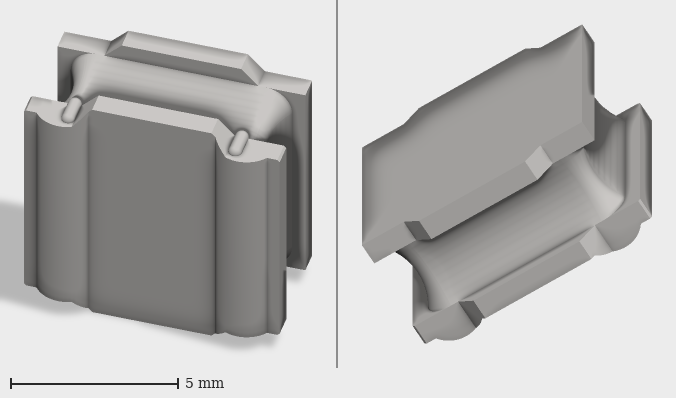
import cadquery as cq


total_depth = 4.2
back_flange_thickness = 0.71
winding_length = 2.39
front_flange_thickness = 0.685
back_face_y = total_depth / 2
winding_back_y = back_face_y - back_flange_thickness
winding_front_y = winding_back_y - winding_length
front_face_y = winding_front_y - front_flange_thickness
pad_tip_y = -total_depth / 2

flange_half_height = 4.0
shoulder_half_height = 3.46
shoulder_rise = flange_half_height - shoulder_half_height
middle_half_width = 1.865
shoulder_half_width = middle_half_width + shoulder_rise
back_half_width = 3.875
front_half_width = 4.0
front_corner_chamfer = 0.07

corner_centre = 2.65
waist_radius = 0.46
flare_radius = shoulder_half_height - corner_centre

pad_centre_x = 2.795
pad_half_width = 0.81
groove_depth = 0.24
wire_centre_x = 2.61
wire_radius = 0.21


def flange_blank(half_width, front_y, thickness):
    """Flange outline in XZ, extruded from front_y toward +Y."""
    right_side = [
        (middle_half_width, flange_half_height),
        (shoulder_half_width, shoulder_half_height),
        (half_width, shoulder_half_height),
        (half_width, -shoulder_half_height),
        (shoulder_half_width, -shoulder_half_height),
        (middle_half_width, -flange_half_height),
    ]
    left_side = [(-x, z) for x, z in reversed(right_side)]
    outline = cq.Workplane("XZ", origin=(0, front_y, 0)).polyline(right_side + left_side)
    return outline.close().extrude(-thickness)


def make_winding():
    """Waisted winding: two crossed slabs with concave sides and four revolved corners."""
    middle_y = (winding_back_y + winding_front_y) / 2
    flare = corner_centre + flare_radius
    waist = corner_centre + waist_radius
    slab = (
        cq.Workplane("XY", origin=(0, 0, -corner_centre))
        .moveTo(-flare, winding_front_y)
        .lineTo(flare, winding_front_y)
        .threePointArc((waist, middle_y), (flare, winding_back_y))
        .lineTo(-flare, winding_back_y)
        .threePointArc((-waist, middle_y), (-flare, winding_front_y))
        .close()
        .extrude(2 * corner_centre)
    )
    winding = slab.union(slab.rotate((0, 0, 0), (0, 1, 0), 90))
    for x in (-corner_centre, corner_centre):
        for z in (-corner_centre, corner_centre):
            corner = (
                cq.Workplane("XY", origin=(x, 0, z))
                .moveTo(0, winding_front_y)
                .lineTo(flare_radius, winding_front_y)
                .threePointArc((waist_radius, middle_y), (flare_radius, winding_back_y))
                .lineTo(0, winding_back_y)
                .close()
                .revolve(360, (0, 0, 0), (0, 1, 0))
            )
            winding = winding.union(corner)
    return winding


def make_wire(side):
    """Round-ended wire lying along the shoulder, as long as the front flange is thick."""
    wire = (
        cq.Workplane("XZ", origin=(side * wire_centre_x, winding_front_y, shoulder_half_height))
        .circle(wire_radius)
        .extrude(front_flange_thickness)
    )
    for end_y in (winding_front_y, front_face_y):
        rounded_end = cq.Workplane("XY").sphere(wire_radius)
        wire = wire.union(rounded_end.translate((side * wire_centre_x, end_y, shoulder_half_height)))
    return wire


def make_pad(side):
    """Solder pad: V-shaped inside, arched outside, trimmed to the flange outline."""
    centre_x = side * pad_centre_x
    bar = (
        cq.Workplane("XY", origin=(centre_x, 0, -flange_half_height))
        .moveTo(-pad_half_width, front_face_y)
        .lineTo(0, front_face_y + groove_depth)
        .lineTo(pad_half_width, front_face_y)
        .threePointArc((0, pad_tip_y), (-pad_half_width, front_face_y))
        .close()
        .extrude(2 * flange_half_height)
    )
    flange_outline = flange_blank(front_half_width, pad_tip_y, winding_front_y - pad_tip_y)
    return bar.intersect(flange_outline)


sides = (-1, 1)
back_flange = flange_blank(back_half_width, winding_back_y, back_flange_thickness)
front_flange = flange_blank(front_half_width, front_face_y, front_flange_thickness)
front_flange = front_flange.edges("|Y and (<X or >X)").chamfer(front_corner_chamfer)
winding = make_winding()

wires = [make_wire(side) for side in sides]
pads = [make_pad(side) for side in sides]
for pad in pads:
    front_flange = front_flange.cut(pad)
for wire in wires:
    front_flange = front_flange.cut(wire)
    winding = winding.cut(wire)
    pads = [pad.cut(wire) for pad in pads]

result = cq.Compound.makeCompound(
    [
        *back_flange.solids().vals(),
        *winding.solids().vals(),
        *front_flange.solids().vals(),
        *[pad.solids().val() for pad in pads],
        *[wire.solids().val() for wire in wires],
    ]
)